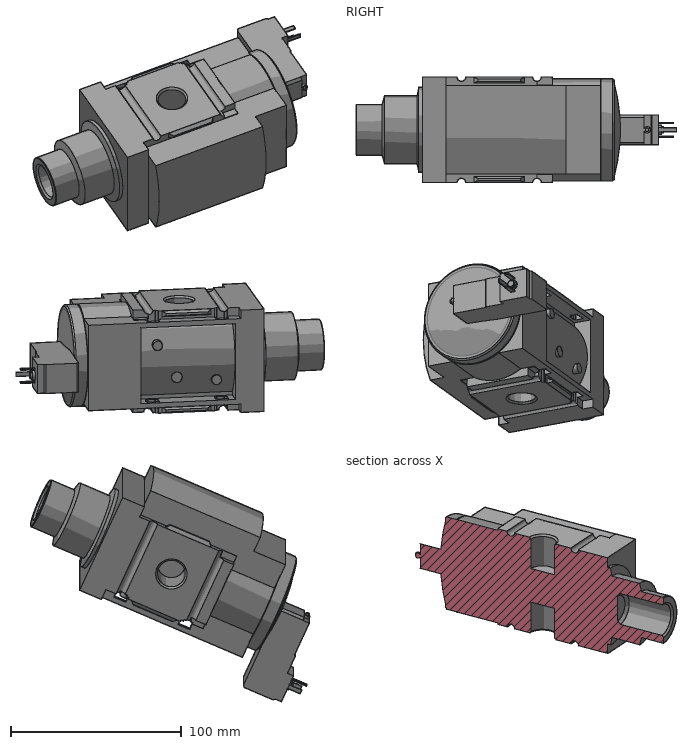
import cadquery as cq
import math


BODY_WIDTH = 62.0
BODY_HALF = BODY_WIDTH / 2
FRONT_BLOCK_END = 13.9
PORT_SECTION_END = 76.2
COVER_END = 84.2
BODY_END = 104.5
SHOULDER_Z = 25.9
CROWN_RADIUS = 30.1

FLANGE_RADIUS = 25.0
FLANGE_LENGTH = 2.1
NOSE_RADIUS = 20.0
TIP_RADIUS = 15.0
TIP_CONE_END = 23.6
TIP_CONE_LENGTH = 1.4
FLANGE_CONE_LENGTH = 1.0
NOSE_LENGTH = 38.9
TIP_CHAMFER = 0.4
NOSE_BORE_RADIUS = 9.8
NOSE_BORE_DEPTH = 30.0
NOSE_BORE_CHAMFER = 1.2
BORE_FLOOR_RADIUS = 8.0

CAP_RADIUS = 30.0
CAP_NECK_RADIUS = 29.5
CAP_NECK_LENGTH = 0.3
CAP_RIM_Y = 111.6
CAP_CHAMFER = 0.9
DOME_RADIUS = 27.5
DOME_APEX_Y = 116.1

COVER_EDGE_X = 40.2
COVER_CROWN_X = 44.75

PORT_Y = 45.05
RAIL_HALF_WIDTH = 24.3
PORT_DIAMETER = 16.2
PORT_CHAMFER = 1.1
PORT_DEPTH = 20.0
GROOVE_OFFSET = 22.15
GROOVE_DIAMETER = 5.0
PLATEAU_HALF_WIDTH = 20.1
NOTCH_FLOOR_Z = 26.3
TAB_BASE_LENGTH = 29.4
TAB_BASE_HEIGHT = 3.5
TAB_TIP_LENGTH = 25.0
TAB_TIP_HEIGHT = 1.3
TAB_PROJECTION = 2.4
TAB_CENTRE_Z = 29.1
SLOT_OFFSET = 20.55
SLOT_OUTER_X = -28.0
SLOT_STEP_X = -23.5
SLOT_INNER_X = -22.4
SLOT_LENGTH = 7.5
SLOT_NARROW_LENGTH = 4.5

RECESS_START = 17.0
RECESS_END = 73.4
RECESS_HALF_HEIGHT = 22.9
RECESS_FLOOR_X = -20.4
CORE_RADIUS = 29.0
PIN_ROOT_X = -22.0
LONG_PIN_END_X = -29.2
FLUSH_PIN_END_X = -28.6
PINS = [
    (63.0, 11.1, 5.8, LONG_PIN_END_X),
    (51.5, -8.6, 6.4, FLUSH_PIN_END_X),
    (27.9, -11.0, 5.8, LONG_PIN_END_X),
]

PILOT_HALF_HEIGHT = 8.8
PILOT_BOTTOM_Y = 114.0
COIL_X = (-52.05, -22.1)
COIL_TOP_Y = 134.6
COIL_CHAMFER = 1.0
CONNECTOR_X = (-51.1, -33.7)
CONNECTOR_TOP_Y = 138.5
VALVE_TOP_Y = 133.9
VALVE_END_X = -0.5
END_PLATE_X = 1.1
END_PLATE_TOP_Y = 130.0
END_PLATE_CHAMFER = 1.5
BUTTON_Y = 131.7
BUTTON_DIAMETER = 2.01
BUTTON_END_X = 2.4
BUTTON_BOSS_DIAMETER = 3.8

NUT_X = -42.2
NUT_DIAMETER = 5.5
NUT_TOP_Y = 140.3
STUD_DIAMETER = 3.8
STUD_TOP_Y = 141.4
BLADE_WIDTH = 2.5
BLADE_THICKNESS = 0.7
SIDE_BLADE_Z = 4.0
SIDE_BLADE_TOP_Y = 147.1
EARTH_BLADE_X = -38.2
EARTH_BLADE_TOP_Y = 149.0


def block(x_range, y_range, z_range):
    """Axis-aligned box spanning the three ranges."""
    sizes = [high - low for low, high in (x_range, y_range, z_range)]
    corner = (x_range[0], y_range[0], z_range[0])
    return cq.Workplane("XY").box(*sizes, centered=False).translate(corner)


def rod(axis, centre, start, end, diameter):
    """Cylinder along X, Y or Z between two positions; centre gives the other two coordinates."""
    direction = {"X": (1, 0, 0), "Y": (0, 1, 0), "Z": (0, 0, 1)}[axis]
    base = list(centre)
    base.insert("XYZ".index(axis), start)
    solid = cq.Solid.makeCylinder(diameter / 2, end - start, cq.Vector(*base), cq.Vector(*direction))
    return cq.Workplane(obj=solid)


def symmetric(half):
    return (-half, half)


def both_port_sides(solid):
    """The solid together with its mirror image in Z = 0."""
    return solid.union(solid.mirror("XY"))


def make_body():
    full = symmetric(BODY_HALF)
    front_block = block(full, (0, FRONT_BLOCK_END), full)
    core = block(full, (FRONT_BLOCK_END, BODY_END), symmetric(SHOULDER_Z))
    rail = block(symmetric(RAIL_HALF_WIDTH), (FRONT_BLOCK_END, PORT_SECTION_END), full)
    crown = rod("Y", (0, 0), PORT_SECTION_END, BODY_END, 2 * CROWN_RADIUS)
    return front_block.union(core).union(rail).union(crown)


def make_cover():
    return (
        cq.Workplane("XZ", origin=(0, COVER_END, 0))
        .moveTo(0, -SHOULDER_Z)
        .lineTo(COVER_EDGE_X, -SHOULDER_Z)
        .threePointArc((COVER_CROWN_X, 0), (COVER_EDGE_X, SHOULDER_Z))
        .lineTo(0, SHOULDER_Z)
        .close()
        .extrude(COVER_END - FRONT_BLOCK_END)
    )


def make_nose():
    return (
        cq.Workplane("XY")
        .moveTo(0, 0)
        .lineTo(FLANGE_RADIUS, 0)
        .lineTo(FLANGE_RADIUS, -FLANGE_LENGTH)
        .lineTo(NOSE_RADIUS, -FLANGE_LENGTH - FLANGE_CONE_LENGTH)
        .lineTo(NOSE_RADIUS, TIP_CONE_LENGTH - TIP_CONE_END)
        .lineTo(TIP_RADIUS, -TIP_CONE_END)
        .lineTo(TIP_RADIUS, TIP_CHAMFER - NOSE_LENGTH)
        .lineTo(TIP_RADIUS - TIP_CHAMFER, -NOSE_LENGTH)
        .lineTo(0, -NOSE_LENGTH)
        .close()
        .revolve(360, (0, 0, 0), (0, 1, 0))
    )


def make_nose_bore():
    straight_end = NOSE_BORE_DEPTH - NOSE_LENGTH
    floor_y = straight_end + NOSE_BORE_RADIUS - BORE_FLOOR_RADIUS
    return (
        cq.Workplane("XY")
        .moveTo(0, -NOSE_LENGTH)
        .lineTo(NOSE_BORE_RADIUS + NOSE_BORE_CHAMFER, -NOSE_LENGTH)
        .lineTo(NOSE_BORE_RADIUS, NOSE_BORE_CHAMFER - NOSE_LENGTH)
        .lineTo(NOSE_BORE_RADIUS, straight_end)
        .lineTo(BORE_FLOOR_RADIUS, floor_y)
        .lineTo(0, floor_y)
        .close()
        .revolve(360, (0, 0, 0), (0, 1, 0))
    )


def make_cap():
    dome_edge_y = CAP_RIM_Y + CAP_CHAMFER
    dome_rise = DOME_APEX_Y - dome_edge_y
    sphere_radius = (DOME_RADIUS**2 + dome_rise**2) / (2 * dome_rise)
    middle_radius = DOME_RADIUS / 2
    middle_y = DOME_APEX_Y - sphere_radius + math.sqrt(sphere_radius**2 - middle_radius**2)
    neck_end = BODY_END + CAP_NECK_LENGTH
    return (
        cq.Workplane("XY")
        .moveTo(0, BODY_END)
        .lineTo(CAP_NECK_RADIUS, BODY_END)
        .lineTo(CAP_NECK_RADIUS, neck_end)
        .lineTo(CAP_RADIUS, neck_end)
        .lineTo(CAP_RADIUS, CAP_RIM_Y)
        .lineTo(CAP_RADIUS - CAP_CHAMFER, dome_edge_y)
        .lineTo(DOME_RADIUS, dome_edge_y)
        .threePointArc((middle_radius, middle_y), (0, DOME_APEX_Y))
        .close()
        .revolve(360, (0, 0, 0), (0, 1, 0))
    )


def make_port():
    """Blind chamfered port in the +Z face."""
    bore = rod("Z", (0, PORT_Y), BODY_HALF - PORT_DEPTH, BODY_HALF, PORT_DIAMETER)
    countersink = (
        cq.Workplane("XY", origin=(0, PORT_Y, BODY_HALF))
        .circle(PORT_DIAMETER / 2 + PORT_CHAMFER)
        .workplane(offset=-PORT_CHAMFER)
        .circle(PORT_DIAMETER / 2)
        .loft()
    )
    return bore.union(countersink)


def make_groove_cuts():
    """Two half-round grooves across the rail, and the notched ends of its rear plateau."""
    cuts = cq.Workplane()
    for side in (-1, 1):
        groove_y = PORT_Y + side * GROOVE_OFFSET
        cuts = cuts.add(
            rod("X", (groove_y, BODY_HALF), -RAIL_HALF_WIDTH, RAIL_HALF_WIDTH, GROOVE_DIAMETER)
        )
        notch_x = sorted((side * PLATEAU_HALF_WIDTH, side * RAIL_HALF_WIDTH))
        cuts = cuts.add(
            block(notch_x, (PORT_Y + GROOVE_OFFSET, PORT_SECTION_END), (NOTCH_FLOOR_Z, BODY_HALF))
        )
    return cuts.combine()


def make_slots():
    """Stepped slots from the port face down into the side recess."""
    slots = cq.Workplane()
    slot_z = (RECESS_HALF_HEIGHT, BODY_HALF)
    for side in (-1, 1):
        slot_y = PORT_Y + side * SLOT_OFFSET
        for inner_x, length in ((SLOT_STEP_X, SLOT_LENGTH), (SLOT_INNER_X, SLOT_NARROW_LENGTH)):
            y_range = (slot_y - length / 2, slot_y + length / 2)
            slots = slots.add(block((SLOT_OUTER_X, inner_x), y_range, slot_z))
    return slots.combine()


def make_tabs():
    """Tapered tabs on both long sides of the +Z rail."""
    tab = (
        cq.Workplane("YZ", origin=(RAIL_HALF_WIDTH, PORT_Y, TAB_CENTRE_Z))
        .rect(TAB_BASE_LENGTH, TAB_BASE_HEIGHT)
        .workplane(offset=TAB_PROJECTION)
        .rect(TAB_TIP_LENGTH, TAB_TIP_HEIGHT)
        .loft()
    )
    return tab.union(tab.mirror("YZ"))


def make_recess():
    """Side recess with the rounded inner core left standing."""
    recess = block(
        (-BODY_HALF, RECESS_FLOOR_X), (RECESS_START, RECESS_END), symmetric(RECESS_HALF_HEIGHT)
    )
    return recess.cut(rod("Y", (0, 0), RECESS_START, RECESS_END, 2 * CORE_RADIUS))


def make_pins():
    pins = cq.Workplane()
    for y, z, diameter, end_x in PINS:
        pins = pins.add(rod("X", (y, z), end_x, PIN_ROOT_X, diameter))
    return pins.combine()


def make_pilot():
    height = symmetric(PILOT_HALF_HEIGHT)
    coil = block(COIL_X, (PILOT_BOTTOM_Y, COIL_TOP_Y), height)
    coil = coil.edges("|Z and <X").chamfer(COIL_CHAMFER)
    connector = block(CONNECTOR_X, (COIL_TOP_Y - COIL_CHAMFER, CONNECTOR_TOP_Y), height)
    valve = block((COIL_X[1], VALVE_END_X), (PILOT_BOTTOM_Y, VALVE_TOP_Y), height)
    plate = block((VALVE_END_X, END_PLATE_X), (PILOT_BOTTOM_Y, END_PLATE_TOP_Y), height)
    plate = plate.edges("|Y and >X").chamfer(END_PLATE_CHAMFER)
    button = rod("X", (BUTTON_Y, 0), VALVE_END_X, BUTTON_END_X, BUTTON_DIAMETER)
    boss = rod("X", (BUTTON_Y, 0), VALVE_END_X, END_PLATE_X, BUTTON_BOSS_DIAMETER)
    return coil.union(connector).union(valve).union(plate).union(boss).union(button)


def make_blade(x, z, x_size, z_size, top_y):
    x_range = (x - x_size / 2, x + x_size / 2)
    z_range = (z - z_size / 2, z + z_size / 2)
    return block(x_range, (CONNECTOR_TOP_Y, top_y), z_range)


def make_contacts():
    contacts = rod("Y", (NUT_X, 0), CONNECTOR_TOP_Y, NUT_TOP_Y, NUT_DIAMETER)
    contacts = contacts.union(rod("Y", (NUT_X, 0), CONNECTOR_TOP_Y, STUD_TOP_Y, STUD_DIAMETER))
    for z in symmetric(SIDE_BLADE_Z):
        blade = make_blade(NUT_X, z, BLADE_WIDTH, BLADE_THICKNESS, SIDE_BLADE_TOP_Y)
        contacts = contacts.union(blade)
    earth = make_blade(EARTH_BLADE_X, 0, BLADE_THICKNESS, BLADE_WIDTH, EARTH_BLADE_TOP_Y)
    return contacts.union(earth)


body = make_body().union(make_cover())
body = body.cut(both_port_sides(make_groove_cuts()))
body = body.cut(both_port_sides(make_port()))
body = body.union(both_port_sides(make_tabs()))
body = body.cut(make_recess())
body = body.cut(both_port_sides(make_slots()))
body = body.union(make_pins())
body = body.union(make_nose()).cut(make_nose_bore())
body = body.union(make_cap())
result = body.union(make_pilot()).union(make_contacts())